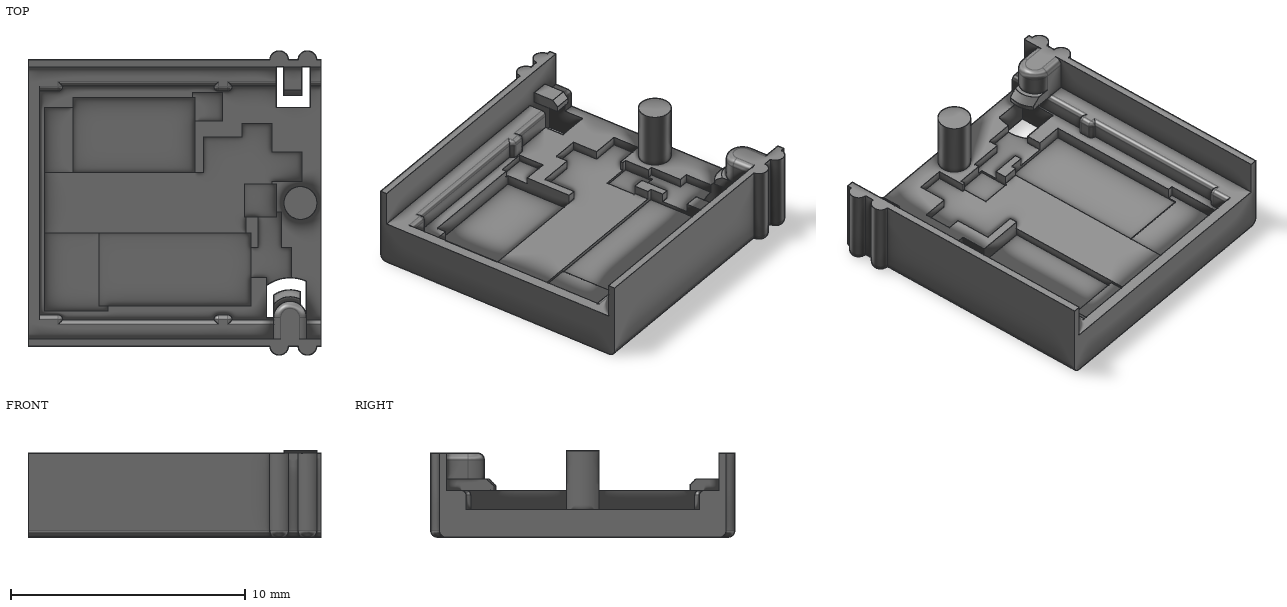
import cadquery as cq

length = 12.5
overall_width = 13.0
post_top = 3.7
wall_top = 3.6
rim_z = 2.0
wall_thickness = 0.31
base_rounding = 0.3

ridge_radius = 0.4
ridge_inset = 0.03
ridge_positions = (10.71, 11.92)

ridge_y = overall_width / 2 - ridge_radius
half_width = ridge_y + ridge_inset
inner_half = half_width - wall_thickness

recess_z = 1.2
recess_start = 0.48
recess_half = 4.99
tab_step = 0.21
rail_rounding = 0.2
end_tab_x = 1.47
middle_tab_x = (7.93, 8.71)
margin = 0.01

corner_floor = 0.9
small_floor = 0.8
medium_floor = 0.7
large_floor = 0.65
deepest_floor = 0.45
middle_y = (-1.29, 1.3)
pockets = (
    ((0.69, 1.91), (middle_y[1], 4.08), medium_floor),
    ((1.91, 7.12), (middle_y[1], 4.51), deepest_floor),
    ((7.01, 8.3), (3.5, 4.72), corner_floor),
    ((0.69, 7.48), middle_y, small_floor),
    ((7.48, 9.3), (middle_y[0], 2.82), small_floor),
    ((9.13, 10.4), (0.8, 3.39), small_floor),
    ((10.4, 11.69), (0.92, 2.18), small_floor),
    ((9.23, 10.6), (-0.6, 0.8), medium_floor),
    ((9.82, 10.82), (-1.91, -0.39), small_floor),
    ((9.5, 11.25), (-3.18, -1.91), small_floor),
    ((10.18, 11.25), (-3.58, -3.18), small_floor),
    ((0.69, 3.39), (-4.62, middle_y[0]), medium_floor),
    ((3.02, 9.5), (-4.4, middle_y[0]), large_floor),
)

post_x = 11.62
post_radius = 0.7

latch_top = 2.5

square_opening_x = (10.6, 12.04)
square_opening_end = 4.08
square_latch_x = (10.91, 11.69)
square_latch_end = 4.59
square_latch_chamfer = 0.25

boss_x = 11.18
boss_y = -4.9
boss_radius = 0.7
boss_rounding = 0.3
round_opening_x = (10.18, 11.87)
round_opening_radius = 1.7
round_latch_x = (boss_x - boss_radius, 11.62)
round_latch_radius = 1.2
round_latch_chamfer = 0.3


def block(x_range, y_range, z_range):
    """Box between two limits on each axis."""
    (x0, x1), (y0, y1), (z0, z1) = x_range, y_range, z_range
    return cq.Workplane("XY").box(x1 - x0, y1 - y0, z1 - z0, centered=False).translate((x0, y0, z0))


def cylinder(x, y, radius, z_range):
    """Upright cylinder."""
    z0, z1 = z_range
    return cq.Workplane("XY", origin=(x, y, z0)).circle(radius).extrude(z1 - z0)


def make_shell():
    """Outer body with ridges, rounded base edges and the space between the side walls."""
    shell = block((0, length), (-half_width, half_width), (0, wall_top))
    for x in ridge_positions:
        for y in (-ridge_y, ridge_y):
            shell = shell.union(cylinder(x, y, ridge_radius, (0, wall_top)))
    shell = shell.faces("<Z").edges("not(|Y)").fillet(base_rounding)
    return shell.cut(block((0, length), (-inner_half, inner_half), (rim_z, wall_top)))


def cut_recess(body):
    """Board recess with rounded rail edges and tab corners."""
    depth = (recess_z, rim_z)
    recess = block((recess_start, length), (-recess_half, recess_half), depth)
    for x_range in ((recess_start, end_tab_x), middle_tab_x):
        for y_range in ((recess_half - tab_step, recess_half), (-recess_half, tab_step - recess_half)):
            recess = recess.cut(block(x_range, y_range, depth))
    body = body.cut(recess)

    start = recess_start + margin
    tab_half = recess_half - tab_step + margin
    tab_box = cq.selectors.BoxSelector((start, -tab_half, recess_z), (length - margin, tab_half, rim_z))
    reach = recess_half + margin
    rail_box = cq.selectors.BoxSelector(
        (start, -reach, rim_z - margin), (length + margin, reach, rim_z + margin))
    tab_corners = body.edges("|Z").edges(tab_box).vals()
    rail_edges = body.edges(rail_box).vals()
    return body.newObject(tab_corners + rail_edges).fillet(rail_rounding)


def cut_pockets(body):
    """Stepped component pockets."""
    for x_range, y_range, floor in pockets:
        body = body.cut(block(x_range, y_range, (floor, recess_z)))
    return body


def add_square_latch(body):
    """Opening through the floor and the chamfered latch above it."""
    body = body.cut(block(square_opening_x, (square_opening_end, inner_half), (0, rim_z)))
    latch = block(square_latch_x, (square_latch_end, inner_half), (rim_z, latch_top))
    return body.union(latch.faces(">Z").edges("<Y").chamfer(square_latch_chamfer))


def add_round_latch(body):
    """Round-ended opening, the latch tongue over it and the rounded boss on top."""
    opening = cylinder(boss_x, boss_y, round_opening_radius, (0, rim_z))
    body = body.cut(opening.intersect(block(round_opening_x, (boss_y, 0), (0, rim_z))))

    latch_z = (rim_z, latch_top)
    disc = cylinder(boss_x, boss_y, round_latch_radius, latch_z).faces(">Z").chamfer(round_latch_chamfer)
    tongue = disc.intersect(block(round_latch_x, (boss_y, 0), latch_z))
    tongue = tongue.union(block(round_latch_x, (-inner_half, boss_y), latch_z))

    boss_sides = (boss_x - boss_radius, boss_x + boss_radius)
    boss_z = (latch_top, wall_top)
    boss = block(boss_sides, (-half_width, boss_y), boss_z)
    boss = boss.union(cylinder(boss_x, boss_y, boss_radius, boss_z))
    boss = boss.faces(">Z").edges("not(<Y)").fillet(boss_rounding)
    boss = boss.intersect(block(boss_sides, (-inner_half, 0), boss_z))
    return body.union(tongue).union(boss)


result = make_shell()
result = cut_recess(result)
result = cut_pockets(result)
result = add_square_latch(result)
result = add_round_latch(result)
result = result.union(cylinder(post_x, 0, post_radius, (recess_z, post_top)))